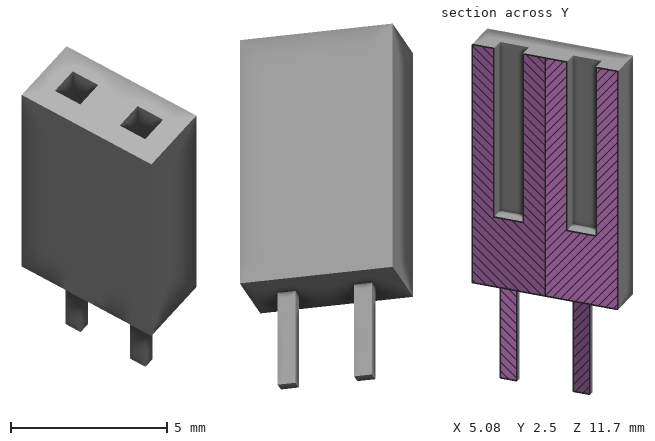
import cadquery as cq

TOTAL_HEIGHT = 11.7
HOUSING_HEIGHT = 8.5
HOUSING_DEPTH = 2.5
PITCH = 2.54
POSITIONS = 2

SOCKET_SIDE = 1.0
SOCKET_DEPTH = 6.0

PIN_WIDTH = 0.6
PIN_THICKNESS = 0.4
PIN_LENGTH = TOTAL_HEIGHT - HOUSING_HEIGHT


def make_housing(x):
    """Block standing on Z = 0 with a blind square socket in its top face."""
    block = cq.Workplane("XY").box(PITCH, HOUSING_DEPTH, HOUSING_HEIGHT, centered=(True, True, False))
    housing = block.faces(">Z").workplane().rect(SOCKET_SIDE, SOCKET_SIDE).cutBlind(-SOCKET_DEPTH)
    return housing.translate((x, 0, 0))


def make_pin(x):
    """Straight pin hanging from the underside of the housing."""
    pin = cq.Workplane("XY").rect(PIN_WIDTH, PIN_THICKNESS).extrude(-PIN_LENGTH)
    return pin.translate((x, 0, 0))


centers = [(i - (POSITIONS - 1) / 2) * PITCH for i in range(POSITIONS)]
housings = [make_housing(x).val() for x in centers]
pins = [make_pin(x).val() for x in centers]

result = cq.Compound.makeCompound([*housings, *pins])